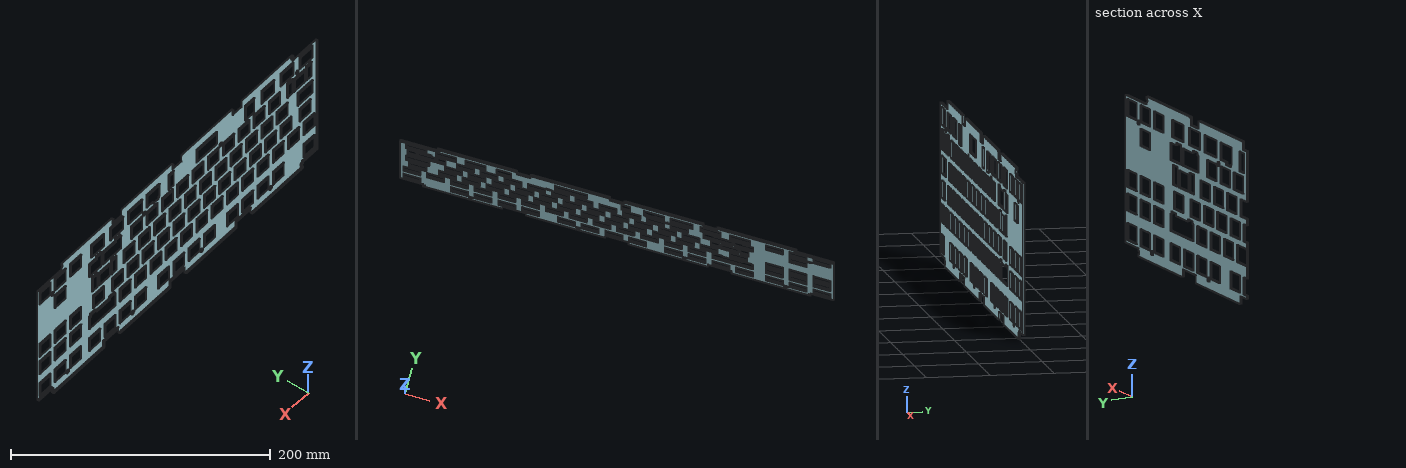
import cadquery as cq

PITCH = 347.7 / 18.25
PLATE_WIDTH = 347.7
PLATE_HEIGHT = 6.25 * PITCH
THICKNESS = 1.5
CORNER_RADIUS = 1.0

OVERALL_HEIGHT = 132.0
TAB_HEIGHT = (OVERALL_HEIGHT - PLATE_HEIGHT) / 2
TAB_WIDTH = 63.5
TAB_COUNT = 4
UPPER_TAB_SPACING = 74.8
LOWER_TAB_SPACING = 82.5
TAB_CORNER_RADIUS = 1.0
TAB_NOTCH_DIAMETER = 3.5

SWITCH_SIZE = 14.0
OPENING_CORNER_RADIUS = 0.5
STABILIZER_WIDTH = 7.0
STABILIZER_OVERHANG = 2.0
STABILIZER_OFFSET = 11.8
SPACE_6_25_STABILIZER_OFFSET = 50.0
SPACE_7_STABILIZER_OFFSET = 3 * PITCH

HOLE_DIAMETER = 3.5

FUNCTION_ROW = 0.5
NUMBER_ROW = 1.75
LETTER_ROW = NUMBER_ROW + 1
CAPS_ROW = NUMBER_ROW + 2
SHIFT_ROW = NUMBER_ROW + 3
SPACE_ROW = NUMBER_ROW + 4
NAVIGATION_COLUMNS = [15.75, 16.75, 17.75]

SINGLE_SWITCHES = {
    FUNCTION_ROW: [0.5, 2.5, 3.5, 4.5, 5.5, 7, 8, 9, 10, 11.5, 12.5, 13.5, 14.5] + NAVIGATION_COLUMNS,
    NUMBER_ROW: [0.5 + i for i in range(13)] + NAVIGATION_COLUMNS,
    LETTER_ROW: [0.75] + [2 + i for i in range(12)] + [14.25] + NAVIGATION_COLUMNS,
    CAPS_ROW: [2.25 + i for i in range(11)] + [13.875],
    SHIFT_ROW: [1.125] + [2.75 + i for i in range(10)] + [14.5, 16.75],
    SPACE_ROW: NAVIGATION_COLUMNS,
}

WIDE_SWITCHES = {
    NUMBER_ROW: [(13.5, 14.5)],
    CAPS_ROW: [(0.625, 0.875)],
    SHIFT_ROW: [(13.125, 13.625)],
    SPACE_ROW: [
        (0.625, 0.75), (1.875, 2), (3.125, 3.25), (6.875, 7.5),
        (10.625, 10.75), (11.75, 11.95), (13, 13.125), (14.25, 14.375),
    ],
}

STABILIZED_KEYS = [
    (14, NUMBER_ROW, STABILIZER_OFFSET, 1),
    (13.875, CAPS_ROW, STABILIZER_OFFSET, 1),
    (1.125, SHIFT_ROW, STABILIZER_OFFSET, 1),
    (13.625, SHIFT_ROW, STABILIZER_OFFSET, 1),
    (6.875, SPACE_ROW, SPACE_6_25_STABILIZER_OFFSET, -1),
    (7.5, SPACE_ROW, SPACE_7_STABILIZER_OFFSET, -1),
]

HOLE_ROWS = [
    ([3, 7.5, 12, 16.25], 1.5),
    ([6.25, 11.25], 98.5),
    ([1.25, 17.25], 101.5),
]


def column_x(column):
    return column * PITCH - PLATE_WIDTH / 2


def row_z(row):
    return row * PITCH - PLATE_HEIGHT / 2


def block(x, z, width, height):
    """Box through the plate thickness, centred at x, z."""
    return cq.Workplane("XY").box(width, THICKNESS, height).translate((x, 0, z))


def opening(x, z, width, height):
    """Rounded rectangular cutter for a switch or a stabilizer."""
    return block(x, z, width, height).edges("|Y").fillet(OPENING_CORNER_RADIUS)


def through_holes(points, diameter):
    """Round cutters along Y at the given x, z points."""
    return cq.Workplane("XZ").pushPoints(points).circle(diameter / 2).extrude(THICKNESS, both=True)


def mounting_tabs(spacing, side):
    """Row of tabs on the upper (+1) or lower (-1) edge, the end ones notched on their outer flank."""
    reach = OVERALL_HEIGHT / 2
    first_x = -spacing * (TAB_COUNT - 1) / 2
    tabs = cq.Workplane("XY")
    for i in range(TAB_COUNT):
        tab = block(first_x + i * spacing, side * reach / 2, TAB_WIDTH, reach)
        tabs = tabs.add(tab.faces(">Z" if side > 0 else "<Z").edges("|Y").fillet(TAB_CORNER_RADIUS))
    flank_x = -first_x + TAB_WIDTH / 2
    notch_z = side * (reach - TAB_HEIGHT / 2)
    notches = through_holes([(-flank_x, notch_z), (flank_x, notch_z)], TAB_NOTCH_DIAMETER)
    return tabs.combine().cut(notches)


def switch_openings():
    openings = []
    for row, columns in SINGLE_SWITCHES.items():
        for column in columns:
            openings.append(opening(column_x(column), row_z(row), SWITCH_SIZE, SWITCH_SIZE))
    for row, spans in WIDE_SWITCHES.items():
        for first, last in spans:
            width = (last - first) * PITCH + SWITCH_SIZE
            openings.append(opening(column_x((first + last) / 2), row_z(row), width, SWITCH_SIZE))
    return openings


def stabilizer_openings():
    openings = []
    for column, row, offset, side in STABILIZED_KEYS:
        z = row_z(row) + side * STABILIZER_OVERHANG / 2
        for x in (column_x(column) - offset, column_x(column) + offset):
            openings.append(opening(x, z, STABILIZER_WIDTH, SWITCH_SIZE + STABILIZER_OVERHANG))
    return openings


plate = block(0, 0, PLATE_WIDTH, PLATE_HEIGHT).edges("|Y").fillet(CORNER_RADIUS)
plate = plate.union(mounting_tabs(UPPER_TAB_SPACING, 1)).union(mounting_tabs(LOWER_TAB_SPACING, -1))

for cutter in switch_openings() + stabilizer_openings():
    plate = plate.cut(cutter)

hole_points = [(column_x(c), z - PLATE_HEIGHT / 2) for columns, z in HOLE_ROWS for c in columns]
result = plate.cut(through_holes(hole_points, HOLE_DIAMETER))